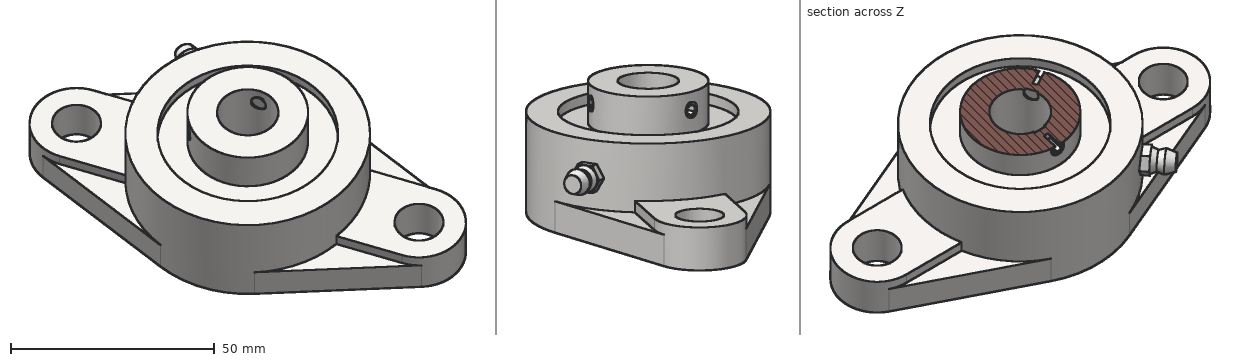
import cadquery as cq
import math

length = 113.0
boss_radius = 30.0
boss_height = 25.5
lug_radius = 11.5
lug_height = 11.0
web_height = 8.0
bolt_hole_diameter = 12.0
lug_offset = length / 2 - lug_radius

insert_diameter = 44.3
insert_height = 22.7
hub_diameter = 29.6
hub_height = 33.3
bore_diameter = 15.0

screw_diameter = 4.0
screw_center_height = 28.7
screw_angles = (90, 210)
screw_recess = 0.2
socket_across_flats = 2.5
socket_depth = 4.5

nipple_angle = 135
nipple_center_height = 16.2
nipple_root = 28.8
hex_end = 32.2
neck_position = 33.9
head_position = 35.8
tip_position = 38.5
hex_across_flats = 6.9
collar_diameter = 6.8
neck_diameter = 5.4
head_diameter = 6.5
tip_diameter = 4.7


def hex_diameter(across_flats):
    """Corner-to-corner diameter of a hexagon."""
    return across_flats / math.cos(math.pi / 6)


def radial_plane(angle, height, distance=0):
    """Plane facing outward from the bearing axis, with its local x tangential."""
    direction = math.radians(angle)
    outward = (math.cos(direction), math.sin(direction), 0)
    tangent = (-math.sin(direction), math.cos(direction), 0)
    origin = (distance * outward[0], distance * outward[1], height)
    return cq.Plane(origin=origin, xDir=tangent, normal=outward)


def make_web():
    """Low plate whose straight sides are tangent to the boss and both lugs."""
    tangent_sine = (boss_radius - lug_radius) / lug_offset
    tangent_cosine = math.sqrt(1 - tangent_sine**2)
    boss_x = boss_radius * tangent_sine
    boss_y = boss_radius * tangent_cosine
    lug_x = lug_offset + lug_radius * tangent_sine
    lug_y = lug_radius * tangent_cosine
    corners = [
        (boss_x, boss_y),
        (lug_x, lug_y),
        (lug_x, -lug_y),
        (boss_x, -boss_y),
        (-boss_x, -boss_y),
        (-lug_x, -lug_y),
        (-lug_x, lug_y),
        (-boss_x, boss_y),
    ]
    return cq.Workplane("XY").polyline(corners).close().extrude(web_height)


def make_nipple():
    """Hexagonal base with a necked, tapered grease fitting."""
    hexagon = (
        cq.Workplane(radial_plane(nipple_angle, nipple_center_height, nipple_root))
        .polygon(6, hex_diameter(hex_across_flats))
        .extrude(hex_end - nipple_root)
    )
    direction = math.radians(nipple_angle)
    profile_plane = cq.Plane(
        origin=(0, 0, nipple_center_height),
        xDir=(math.sin(direction), -math.cos(direction), 0),
        normal=(0, 0, 1),
    )
    fitting = (
        cq.Workplane(profile_plane)
        .moveTo(0, nipple_root)
        .lineTo(neck_diameter / 2, nipple_root)
        .lineTo(neck_diameter / 2, hex_end)
        .lineTo(collar_diameter / 2, hex_end)
        .lineTo(neck_diameter / 2, neck_position)
        .lineTo(head_diameter / 2, head_position)
        .lineTo(tip_diameter / 2, tip_position)
        .lineTo(0, tip_position)
        .close()
        .revolve(360, (0, 0, 0), (0, 1, 0))
    )
    return hexagon.union(fitting)


def make_housing():
    boss = cq.Workplane("XY").circle(boss_radius).extrude(boss_height)
    lugs = cq.Workplane("XY").slot2D(length, 2 * lug_radius).extrude(lug_height)
    bolt_holes = (
        cq.Workplane("XY")
        .pushPoints([(-lug_offset, 0), (lug_offset, 0)])
        .circle(bolt_hole_diameter / 2)
        .extrude(lug_height)
    )
    insert_seat = cq.Workplane("XY").circle(insert_diameter / 2).extrude(boss_height)
    body = boss.union(lugs).union(make_web()).union(make_nipple())
    return body.cut(bolt_holes).cut(insert_seat)


def cut_set_screw(body, angle):
    """Form a slightly sunk set screw with a hex socket and a flat inner end."""
    screw_face = hub_diameter / 2 - screw_recess
    inner_end = bore_diameter / 2 + screw_recess
    outer_recess = (
        cq.Workplane(radial_plane(angle, screw_center_height, screw_face))
        .circle(screw_diameter / 2)
        .extrude(2 * screw_recess)
    )
    inner_recess = (
        cq.Workplane(radial_plane(angle, screw_center_height))
        .circle(screw_diameter / 2)
        .extrude(inner_end)
    )
    socket = (
        cq.Workplane(radial_plane(angle, screw_center_height, screw_face))
        .transformed(rotate=(0, 0, 90))
        .polygon(6, hex_diameter(socket_across_flats))
        .extrude(-socket_depth)
    )
    return body.cut(outer_recess).cut(inner_recess).cut(socket)


def make_bearing():
    insert = cq.Workplane("XY").circle(insert_diameter / 2).extrude(insert_height)
    hub = cq.Workplane("XY").circle(hub_diameter / 2).extrude(hub_height)
    bore = cq.Workplane("XY").circle(bore_diameter / 2).extrude(hub_height)
    body = insert.union(hub).cut(bore)
    for angle in screw_angles:
        body = cut_set_screw(body, angle)
    return body


housing = make_housing()
bearing = make_bearing()
result = cq.Compound.makeCompound([housing.val(), bearing.val()])